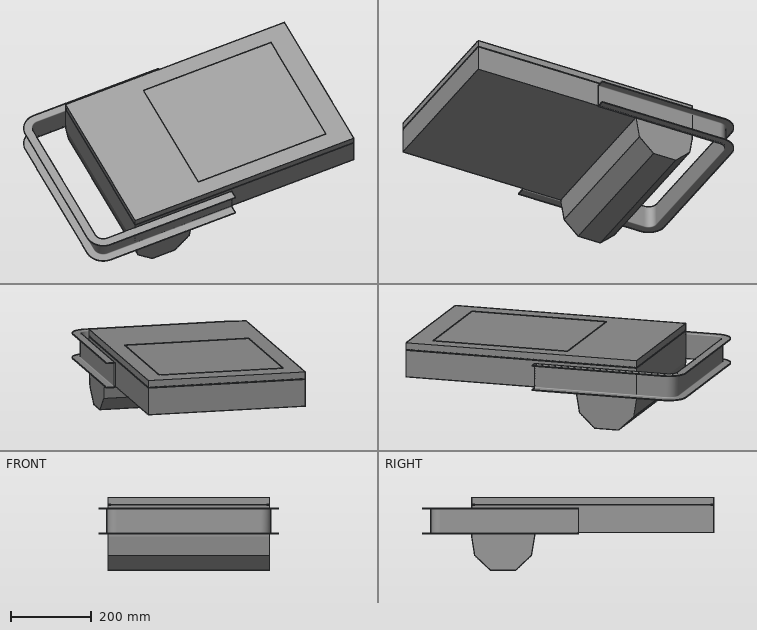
import cadquery as cq

overall_length = 720.5
overall_width = 445.0
overall_height = 181.0

flange_thickness = 2.0
web_thickness = 3.0
flange = 19.5
handle_top = -27.0
handle_height = 64.0
handle_back = 385.5
bend_inner_radius = 21.5
flange_bend_inner = 2.0
flange_bend_outer = 2.0
selection_margin = 1.0

case_width = overall_width - 2 * (flange + web_thickness)
case_front = 121.0
case_length = overall_length - case_front
case_height = 87.0
lid_height = 17.0
seam_height = 2.0
seam_depth = 7.0

screen_width = 316.0
screen_length = 349.5
screen_back_margin = 57.0
screen_depth = 1.5

pod_center_y = 199.0
pod_top_back = 80.0
pod_shoulder_z = -98.0
pod_knee = 70.5
pod_knee_z = -143.5
pod_bottom = 31.0


def box(width, length, height, front, top):
    """Box centred on X, placed by its front and top faces."""
    return cq.Workplane("XY").box(width, length, height, centered=(True, False, False)).translate(
        (0, front, top - height)
    )


def handle_slab(inset, top, height):
    """U-footprint slab, inset from the flange outline, with rounded front corners."""
    slab = box(overall_width - 2 * inset, handle_back - inset, height, inset, top)
    corner_radius = bend_inner_radius + flange + web_thickness - inset
    return slab.edges("|Z and <Y").fillet(corner_radius)


def make_case():
    case = box(case_width, case_length, case_height, case_front, 0)
    seam = box(case_width, case_length, seam_height, case_front, -lid_height)
    seam_core = box(
        case_width - 2 * seam_depth,
        case_length - 2 * seam_depth,
        seam_height,
        case_front + seam_depth,
        -lid_height,
    )
    screen_front = overall_length - screen_back_margin - screen_length
    screen = box(screen_width, screen_length, screen_depth, screen_front, 0)
    return case.cut(seam.cut(seam_core)).cut(screen)


def make_pod():
    profile = [
        (case_front, -case_height),
        (case_front, pod_shoulder_z),
        (pod_center_y - pod_knee, pod_knee_z),
        (pod_center_y - pod_bottom, -overall_height),
        (pod_center_y + pod_bottom, -overall_height),
        (pod_center_y + pod_knee, pod_knee_z),
        (pod_center_y + pod_top_back, -case_height),
    ]
    return cq.Workplane("YZ").polyline(profile).close().extrude(case_width / 2, both=True)


def footprint_edges(solid, inset):
    """Top and bottom edges of a U-shaped solid along its inner boundary, at the given inset."""
    half_width = overall_width / 2 - inset + selection_margin
    boundary = cq.selectors.BoxSelector(
        (-half_width, inset - selection_margin, handle_top - 2 * handle_height),
        (half_width, handle_back - selection_margin, handle_top + handle_height),
    )
    return solid.faces("|Z").edges(boundary)


def make_handle():
    web_height = handle_height - 2 * flange_thickness
    opening_inset = flange + web_thickness
    channel = handle_slab(0, handle_top, handle_height)
    opening = handle_slab(opening_inset, handle_top, handle_height)
    channel = channel.cut(opening)
    channel = footprint_edges(channel, opening_inset).fillet(flange_bend_outer)

    groove = handle_slab(0, handle_top - flange_thickness, web_height)
    web = handle_slab(flange, handle_top - flange_thickness, web_height)
    groove = groove.cut(web)
    groove = footprint_edges(groove, flange).fillet(flange_bend_inner)
    return channel.cut(groove)


result = make_case().union(make_pod()).union(make_handle())